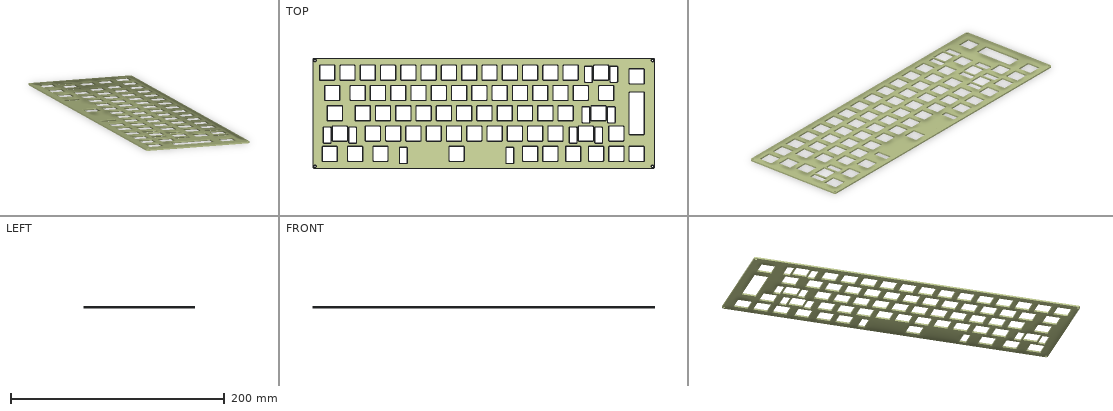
import cadquery as cq

PLATE_LENGTH = 321.0
PLATE_WIDTH = 103.5
PLATE_THICKNESS = 1.5
PLATE_CORNER_RADIUS = 2.0

MOUNT_DIAMETER = 2.2
MOUNT_INSET = 2.0

KEY_UNIT = 19.05
GRID_MARGIN = 4.0
GRID_LEFT = -PLATE_LENGTH / 2 + GRID_MARGIN
GRID_REAR = PLATE_WIDTH / 2 - GRID_MARGIN

SWITCH_SIZE = 14.0
WINDOW_CORNER_RADIUS = 0.5

STABILIZER_WIDTH = 7.0
STABILIZER_HEIGHT = 15.0
STABILIZER_DROP = 1.5
WIDE_KEY_REACH = 11.94
SPACE_BAR_REACH = 50.0

END_COLUMN = 15.75
END_SWITCH_Y = 34.8
END_SLOT_HEIGHT = 39.9
END_SLOT_ROW = 2

ROWS = [
    {"run": (0.5, 13), "others": [14.0], "stabilized": {14.0: WIDE_KEY_REACH}},
    {"run": (2.0, 12), "others": [0.75, 14.25], "stabilized": {}},
    {"run": (2.25, 11), "others": [0.875, 13.875], "stabilized": {13.875: WIDE_KEY_REACH}},
    {
        "run": (2.75, 10),
        "others": [1.125, 13.25, 14.75],
        "stabilized": {1.125: WIDE_KEY_REACH, 13.25: WIDE_KEY_REACH},
    },
    {
        "run": (10.5, 2),
        "others": [0.625, 1.875, 3.125, 6.875, 12.625, 13.75, 14.75, END_COLUMN],
        "stabilized": {6.875: SPACE_BAR_REACH},
    },
]


def column_x(units):
    """X of a key centre given in key units from the left of the grid."""
    return GRID_LEFT + units * KEY_UNIT


def row_y(row):
    """Y of the key centres in a row, counted from the rear."""
    return GRID_REAR - (row + 0.5) * KEY_UNIT


def make_plate():
    blank = cq.Workplane("XY").box(PLATE_LENGTH, PLATE_WIDTH, PLATE_THICKNESS)
    return blank.edges("|Z").fillet(PLATE_CORNER_RADIUS)


def cut_mounting_holes(plate):
    spacing_x = PLATE_LENGTH - 2 * MOUNT_INSET
    spacing_y = PLATE_WIDTH - 2 * MOUNT_INSET
    corners = plate.faces(">Z").workplane().rect(spacing_x, spacing_y, forConstruction=True)
    return corners.vertices().hole(MOUNT_DIAMETER)


def cut_windows(plate, centres, width, height):
    """Cut a round-cornered rectangular window through the plate at each centre."""
    outlines = cq.Workplane("XY").pushPoints(centres).rect(width, height)
    windows = outlines.extrude(PLATE_THICKNESS, both=True)
    return plate.cut(windows.edges("|Z").fillet(WINDOW_CORNER_RADIUS))


def switch_centres():
    centres = []
    for row, keys in enumerate(ROWS):
        first, count = keys["run"]
        columns = [first + step for step in range(count)] + keys["others"]
        centres += [(column_x(column), row_y(row)) for column in columns]
    return centres


def stabilizer_centres():
    centres = []
    for row, keys in enumerate(ROWS):
        for column, reach in keys["stabilized"].items():
            for side in (-1, 1):
                centres.append((column_x(column) + side * reach, row_y(row) - STABILIZER_DROP))
    return centres


end_switch_centre = (column_x(END_COLUMN), END_SWITCH_Y)
end_slot_centre = (column_x(END_COLUMN), row_y(END_SLOT_ROW))

result = make_plate()
result = cut_mounting_holes(result)
result = cut_windows(result, switch_centres() + [end_switch_centre], SWITCH_SIZE, SWITCH_SIZE)
result = cut_windows(result, stabilizer_centres(), STABILIZER_WIDTH, STABILIZER_HEIGHT)
result = cut_windows(result, [end_slot_centre], SWITCH_SIZE, END_SLOT_HEIGHT)